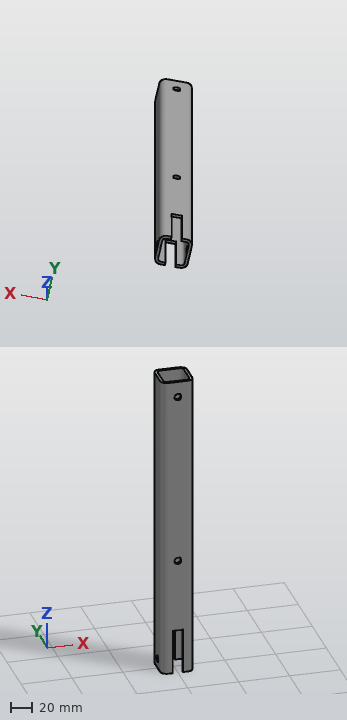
import cadquery as cq

length = 304.8
width = 31.7
wall = 3.0
outer_radius = 6.5
inner_radius = outer_radius - wall

hole_diameter = 6.7
upper_hole_height = 289.0
middle_hole_height = 117.5
lower_hole_height = 9.5

slot_width = 10.0
slot_height = 44.5


def rounded_bar(side, radius):
    """Full-length square bar with rounded long edges."""
    bar = cq.Workplane("XY").rect(side, side).extrude(length)
    return bar.edges("|Z").fillet(radius)


def through_hole(plane, height):
    """Cutter for a hole through both opposite walls, at a given height."""
    return (
        cq.Workplane(plane)
        .center(0, height)
        .circle(hole_diameter / 2)
        .extrude(width, both=True)
    )


tube = rounded_bar(width, outer_radius).cut(rounded_bar(width - 2 * wall, inner_radius))

for hole_height in (upper_hole_height, middle_hole_height):
    tube = tube.cut(through_hole("XZ", hole_height))

tube = tube.cut(through_hole("YZ", lower_hole_height))

slot = cq.Workplane("XY").rect(slot_width, 2 * width).extrude(slot_height)
result = tube.cut(slot)